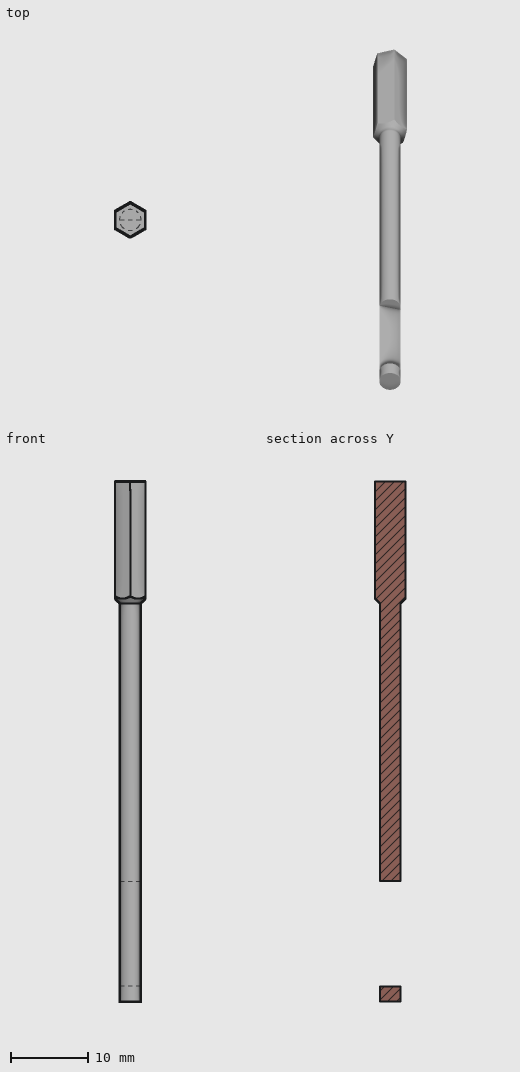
import cadquery as cq
import math

total_length = 67.5
hex_across_flats = 4.0
head_length = 15.85
shaft_diameter = 2.8
top_chamfer = 0.1
notch_bottom = 2.0
notch_top = 15.6

hex_across_corners = hex_across_flats / math.cos(math.radians(30))
corner_radius = hex_across_corners / 2
shaft_radius = shaft_diameter / 2
head_bottom = total_length - head_length
cone_height = corner_radius - shaft_radius


def make_head():
    """Hexagonal head with corners on the Y axis, coned underneath and bevelled on top."""
    prism = (
        cq.Workplane("XY", origin=(0, 0, head_bottom))
        .polygon(6, hex_across_corners)
        .extrude(head_length)
        .rotate((0, 0, 0), (0, 0, 1), 90)
    )
    turned_envelope = (
        cq.Workplane("XZ")
        .moveTo(0, head_bottom)
        .lineTo(shaft_radius, head_bottom)
        .lineTo(corner_radius, head_bottom + cone_height)
        .lineTo(corner_radius, total_length)
        .lineTo(0, total_length)
        .close()
        .revolve(360, (0, 0, 0), (0, 1, 0))
    )
    return prism.intersect(turned_envelope).faces(">Z").edges().chamfer(top_chamfer)


def make_shaft():
    """Round shaft with the +Y half cut away between the foot and the notch top."""
    shaft = cq.Workplane("XY").circle(shaft_radius).extrude(head_bottom)
    notch = (
        cq.Workplane("XY", origin=(0, 0, notch_bottom))
        .rect(shaft_diameter, shaft_diameter)
        .extrude(notch_top - notch_bottom)
        .translate((0, shaft_radius, 0))
    )
    return shaft.cut(notch)


result = make_head().union(make_shaft())